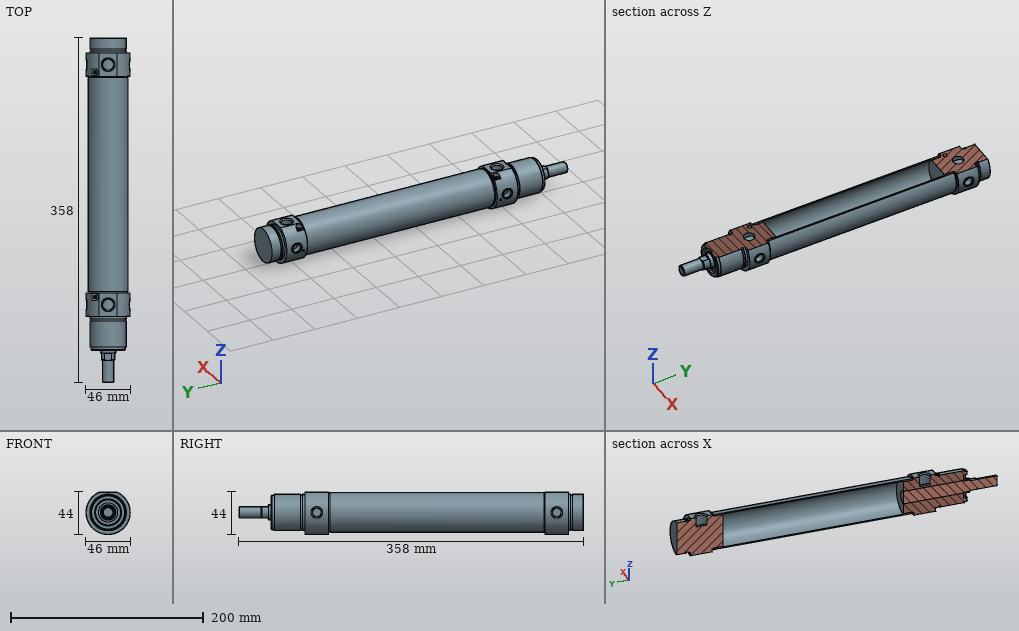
import cadquery as cq
import math


total_length = 358.0
rear_head_start = 15.4
head_length = 24.5
rear_head_end = rear_head_start + head_length
front_head_start = 264.7
front_head_end = front_head_start + head_length
nose_step_start = 321.0
nose_end = 324.5
thread_length = 23.0
rod_shoulder = total_length - thread_length

head_diameter = 46.0
port_flat_height = 21.0
neck_diameter = 38.0
groove_diameter = 36.0
groove_length = 2.0
rear_neck_land = 2.2
front_neck_land = 2.5
nose_step_diameter = 36.0
nose_chamfer = 0.8

tube_diameter = 41.6
tube_bore = 38.0
collar_diameter = 40.0
rear_tube_gap = 1.3
front_tube_gap = 1.7
spigot_length = 12.0
spigot_diameter = tube_bore

port_offset = head_length / 2
port_diameter = 11.45
port_mouth_diameter = 14.2
port_core_diameter = 20.0
side_hole_diameter = 8.92
side_counterbore_diameter = 12.0
side_counterbore_depth = 1.0
side_hole_depth = 8.0

cushion_offset = 4.3
cushion_x = -13.5
pocket_diameter = 7.0
pocket_floor = 16.0
screw_diameter = 3.5
screw_length = 6.0
slot_width = 0.8
slot_depth = 0.8

vent_diameter = 2.0
vent_z = -5.0
vent_depth = 3.0

rod_diameter = 14.0
thread_diameter = 12.0
thread_chamfer = 1.0
shoulder_chamfer = (rod_diameter - thread_diameter) / 2
flat_across = 12.0
flat_length = 7.5
recess_mouth_diameter = 28.0
recess_mouth_depth = 2.0
recess_depth = 4.0
recess_floor_diameter = 26.0
wiper_diameter = 20.0
wiper_lip_diameter = 16.0
wiper_lip_projection = 2.5
wiper_step_depth = 1.5
seat_floor = nose_end - recess_depth
wiper_step = nose_end - wiper_step_depth
wiper_end = nose_end + wiper_lip_projection
mouth_start = nose_end - recess_mouth_depth


def turned(profile):
    """Solid of revolution about the Y axis from (station, radius) points."""
    points = [(radius, -station) for station, radius in profile]
    return cq.Workplane("XY").polyline(points).close().revolve(360, (0, 0, 0), (0, 1, 0))


def cylinder(start, end, diameter):
    """Cylinder on the axis between two stations."""
    radius = diameter / 2
    return turned([(start, 0), (start, radius), (end, radius), (end, 0)])


def tube_between(start, end, outer, inner):
    """Hollow cylinder on the axis between two stations."""
    return turned([(start, inner / 2), (start, outer / 2), (end, outer / 2), (end, inner / 2)])


def port_cutter():
    """Drill with a 45 degree mouth at Z = port_flat_height, going down to the axis."""
    radius = port_diameter / 2
    mouth_radius = port_mouth_diameter / 2
    mouth_depth = mouth_radius - radius
    return (
        cq.Workplane("XZ")
        .moveTo(0, port_flat_height)
        .lineTo(mouth_radius, port_flat_height)
        .lineTo(radius, port_flat_height - mouth_depth)
        .lineTo(radius, 0)
        .lineTo(0, 0)
        .close()
        .revolve(360, (0, 0, 0), (0, 1, 0))
    )


def side_bore(station, side, diameter, depth):
    """Bore into the +X or -X side, its depth measured from the head's largest radius."""
    wall_x = side * head_diameter / 2
    return (
        cq.Workplane("YZ", origin=(wall_x, -station, 0))
        .circle(diameter / 2)
        .extrude(-side * depth)
    )


def pocket_cutter(station):
    """Screw pocket: round toward the port and open toward the -X side."""
    center = (cushion_x, -station, pocket_floor)
    height = head_diameter / 2 - pocket_floor
    round_end = cq.Workplane("XY", origin=center).circle(pocket_diameter / 2).extrude(height)
    open_end = cq.Workplane("XY", origin=center).box(
        head_diameter / 2, pocket_diameter, height, centered=(False, True, False)
    )
    return round_end.union(open_end.translate((-head_diameter / 2, 0, 0)))


def head_block(start, cushion_station):
    """Round head with its port flat, port, side holes, screw pocket and vent."""
    block = cylinder(start, start + head_length, head_diameter)
    above_flat = cq.Workplane("XY").box(
        head_diameter, head_length, head_diameter, centered=(True, False, False)
    )
    block = block.cut(above_flat.translate((0, -start - head_length, port_flat_height)))

    port_station = start + port_offset
    core = cylinder(start, start + head_length, port_core_diameter)
    block = block.cut(port_cutter().translate((0, -port_station, 0)).cut(core))

    for side in (-1, 1):
        block = block.cut(side_bore(port_station, side, side_hole_diameter, side_hole_depth))
        block = block.cut(
            side_bore(port_station, side, side_counterbore_diameter, side_counterbore_depth)
        )

    screw_hole = (
        cq.Workplane("XY", origin=(cushion_x, -cushion_station, pocket_floor))
        .circle(screw_diameter / 2)
        .extrude(-screw_length)
    )
    vent_surface_x = -math.sqrt((head_diameter / 2) ** 2 - vent_z**2)
    vent = (
        cq.Workplane("YZ", origin=(vent_surface_x + vent_depth, -cushion_station, vent_z))
        .circle(vent_diameter / 2)
        .extrude(-2 * vent_depth)
    )
    return block.cut(pocket_cutter(cushion_station)).cut(screw_hole).cut(vent)


rear_cushion = rear_head_end - cushion_offset
front_cushion = front_head_start + cushion_offset
rear_spigot_end = rear_head_end + spigot_length
tube_start = rear_head_end + rear_tube_gap
tube_end = front_head_start - front_tube_gap
front_spigot_start = front_head_start - spigot_length

rear_groove_end = rear_head_start - rear_neck_land
rear_head = (
    head_block(rear_head_start, rear_cushion)
    .union(cylinder(0, rear_head_start, neck_diameter))
    .union(cylinder(rear_head_end, tube_start, collar_diameter))
    .union(cylinder(rear_head_end, rear_spigot_end, spigot_diameter))
    .cut(tube_between(rear_groove_end - groove_length, rear_groove_end, head_diameter, groove_diameter))
)

recess = turned([
    (seat_floor, 0),
    (seat_floor, recess_floor_diameter / 2),
    (mouth_start, recess_floor_diameter / 2),
    (nose_end, recess_mouth_diameter / 2),
    (nose_end, 0),
])

nose = turned([
    (front_head_end, 0),
    (front_head_end, neck_diameter / 2),
    (nose_step_start, neck_diameter / 2),
    (nose_step_start, nose_step_diameter / 2),
    (nose_end - nose_chamfer, nose_step_diameter / 2),
    (nose_end, nose_step_diameter / 2 - nose_chamfer),
    (nose_end, 0),
])

front_groove_start = front_head_end + front_neck_land
front_head = (
    head_block(front_head_start, front_cushion)
    .union(cylinder(tube_end, front_head_start, collar_diameter))
    .union(cylinder(front_spigot_start, front_head_start, spigot_diameter))
    .union(nose)
    .cut(tube_between(front_groove_start, front_groove_start + groove_length, head_diameter, groove_diameter))
    .cut(cylinder(front_spigot_start, nose_end, rod_diameter))
    .cut(recess)
)

tube = tube_between(tube_start, tube_end, tube_diameter, tube_bore)

retaining_ring = tube_between(seat_floor, mouth_start, recess_floor_diameter, wiper_diameter)

wiper = turned([
    (seat_floor, rod_diameter / 2),
    (seat_floor, wiper_diameter / 2),
    (wiper_step, wiper_diameter / 2),
    (wiper_step, wiper_lip_diameter / 2),
    (wiper_end, wiper_lip_diameter / 2),
    (wiper_end, rod_diameter / 2),
])

rod = turned([
    (front_spigot_start, 0),
    (front_spigot_start, rod_diameter / 2),
    (rod_shoulder - shoulder_chamfer, rod_diameter / 2),
    (rod_shoulder, thread_diameter / 2),
    (total_length - thread_chamfer, thread_diameter / 2),
    (total_length, thread_diameter / 2 - thread_chamfer),
    (total_length, 0),
])
flat_y = -(rod_shoulder - flat_length / 2)
for side in (-1, 1):
    flat_cut = cq.Workplane("XY").box(rod_diameter, flat_length, flat_across)
    rod = rod.cut(flat_cut.translate((0, flat_y, side * flat_across)))


def cushion_screw(station):
    """Slotted screw, level with the floor of its pocket."""
    screw = (
        cq.Workplane("XY", origin=(cushion_x, -station, pocket_floor))
        .circle(screw_diameter / 2)
        .extrude(-screw_length)
    )
    slot = cq.Workplane("XY").box(slot_width, screw_diameter, 2 * slot_depth)
    return screw.cut(slot.translate((cushion_x, -station, pocket_floor)))


cushion_screws = [cushion_screw(station).val() for station in (rear_cushion, front_cushion)]

result = cq.Compound.makeCompound([
    rear_head.val(),
    front_head.val(),
    tube.val(),
    rod.val(),
    wiper.val(),
    retaining_ring.val(),
    *cushion_screws,
])